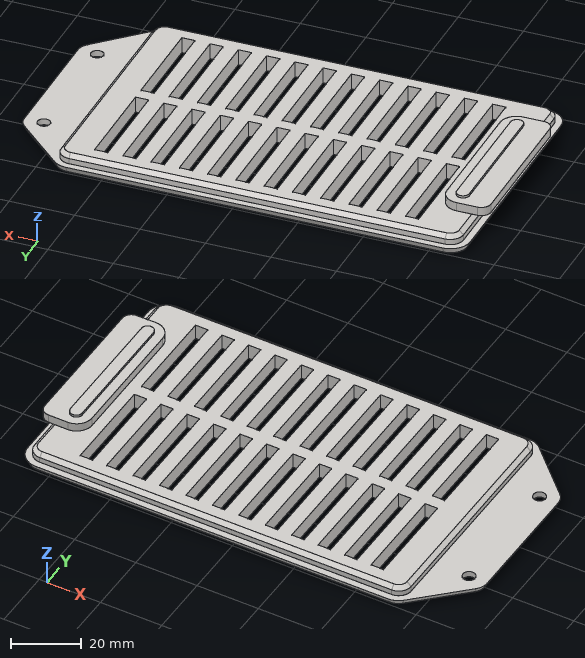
import cadquery as cq
import math

overall_length = 143.5
rim_width = 80.1
rim_height = 2.0
rim_flare = 1.0
rim_corner_radius = 6.0
tongue_length = 18.5
tongue_end_width = 44.5
tongue_corner_radius = 5.0

panel_inset = 2.2
panel_length = 123.0
panel_top = 5.0
panel_chamfer = 1.3
panel_corner_radius = 4.0

slot_count = 12
slot_row_length = 95.0
slot_width = 4.0
slot_length = 65.3
first_slot_x = 18.4
bridge_width = 4.0

hole_diameter = 3.9
hole_end_distance = 6.0
hole_spacing = 39.9

handle_overhang = 1.5
handle_length = 14.4
handle_width = 50.0
handle_gap = 0.3
handle_thickness = 2.7
handle_corner_radius = 3.0
handle_nose_radius = 5.0
rib_width = 3.9
rib_length = 44.2
rib_height = 0.7

rim_length = overall_length - handle_overhang
panel_width = rim_width - 2 * panel_inset
handle_bottom = panel_top + handle_gap
handle_end_x = handle_length - handle_overhang
slot_pitch = slot_row_length / (slot_count - 1)
rib_x = handle_end_x - handle_nose_radius


def rim():
    taper = math.degrees(math.atan(rim_flare / rim_height))
    shoulder_x = rim_length - tongue_length
    outline = [
        (0, -rim_width / 2),
        (shoulder_x, -rim_width / 2),
        (rim_length, -tongue_end_width / 2),
        (rim_length, tongue_end_width / 2),
        (shoulder_x, rim_width / 2),
        (0, rim_width / 2),
    ]
    blank = cq.Workplane("XY").polyline(outline).close().extrude(rim_height)
    rounded = blank.edges("|Z and (not >X)").fillet(rim_corner_radius)
    rounded = rounded.edges("|Z and >X").fillet(tongue_corner_radius)
    top_outline = rounded.faces(">Z").wires().toPending().workplane()
    return top_outline.extrude(-rim_height, combine=False, taper=taper)


def panel():
    block = (
        cq.Workplane("XY", origin=(panel_inset, 0, rim_height))
        .rect(panel_length, panel_width)
        .extrude(panel_top - rim_height)
        .translate((panel_length / 2, 0, 0))
    )
    return block.edges("|Z").fillet(panel_corner_radius).faces(">Z").chamfer(panel_chamfer)


def slots():
    half_length = (slot_length - bridge_width) / 2
    half_center = (bridge_width + half_length) / 2
    centers = [
        (first_slot_x + i * slot_pitch, side * half_center)
        for i in range(slot_count)
        for side in (-1, 1)
    ]
    return cq.Workplane("XY").pushPoints(centers).rect(slot_width, half_length).extrude(panel_top)


def mounting_holes():
    x = rim_length - hole_end_distance
    centers = [(x, -hole_spacing / 2), (x, hole_spacing / 2)]
    return cq.Workplane("XY").pushPoints(centers).circle(hole_diameter / 2).extrude(rim_height)


def make_plate():
    return rim().union(panel()).cut(slots()).cut(mounting_holes())


def make_handle():
    grip = (
        cq.Workplane("XY", origin=(handle_end_x - handle_length / 2, 0, handle_bottom))
        .rect(handle_length, handle_width)
        .extrude(handle_thickness)
    )
    grip = grip.edges("|Z and <X").fillet(handle_corner_radius)
    grip = grip.edges("|Z and >X").fillet(handle_nose_radius)
    rib = (
        cq.Workplane("XY", origin=(rib_x, 0, handle_bottom + handle_thickness))
        .slot2D(rib_length, rib_width, 90)
        .extrude(rib_height)
    )
    return grip.union(rib)


plate = make_plate()
handle = make_handle()

result = cq.Compound.makeCompound([plate.val(), handle.val()])